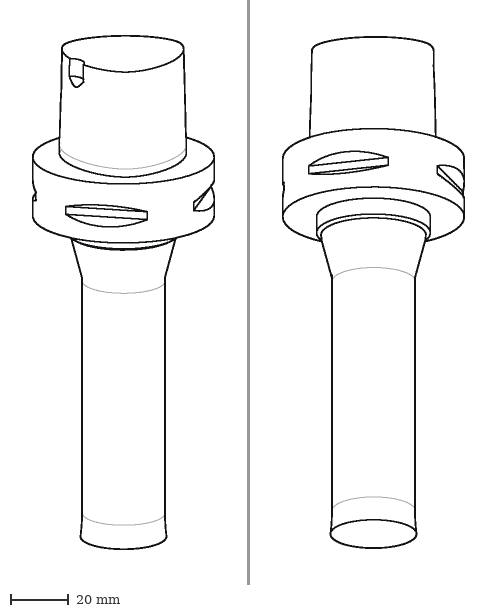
import cadquery as cq
import math

TOTAL_HEIGHT = 177.0
TAPER_BOTTOM_Z = 142.1
FLANGE_TOP_Z = 139.1
FLANGE_BOTTOM_Z = 117.7
NECK_BOTTOM_Z = 111.9
BAR_TOP_Z = 111.0

SHANK_MEAN_RADIUS = 22.04
SHANK_LOBE_HEIGHT = 1.5
SHANK_TAPER = 1 / 20
SHANK_TOP_MEAN_RADIUS = SHANK_MEAN_RADIUS - SHANK_TAPER * (TOTAL_HEIGHT - TAPER_BOTTOM_Z) / 2
LOBE_COUNT = 3
LOBE_CENTRE_ANGLE = math.pi / 2
CURVE_POINTS = 72
FLANGE_RADIUS = 63.0 / 2
NECK_RADIUS = 39.5 / 2

GROOVE_COUNT = 4
GROOVE_FIRST_ANGLE = 45.0
GROOVE_CENTRE_Z = 127.3
GROOVE_FLOOR_HEIGHT = 2.8
GROOVE_MOUTH_HEIGHT = 7.8
GROOVE_DEPTH = 3.5

KEYWAY_RADIUS = 5.5
KEYWAY_WALL_DEPTH = 6.4
KEYWAY_SAGITTA = 2.5

BAR_TOP_RADIUS = 36.5 / 2
SHAFT_RADIUS = 28.9 / 2
SHOULDER_TOP_BLEND_Z = 108.5
SHOULDER_TOP_BLEND_RADIUS = 17.9
SHOULDER_BOTTOM_BLEND_Z = 97.7
SHOULDER_BOTTOM_BLEND_RADIUS = 14.9
SHAFT_TOP_Z = 94.2
SHAFT_BOTTOM_Z = 10.0
TIP_RADIUS = 30.0 / 2
TIP_RIM_Z = 1.2


def lobed_wire(mean_radius, z):
    """Closed constant-width curve whose support distance is R + e * cos(3 * angle)."""

    def point(parameter):
        angle = 2 * math.pi * parameter
        phase = LOBE_COUNT * (angle - LOBE_CENTRE_ANGLE)
        support = mean_radius + SHANK_LOBE_HEIGHT * math.cos(phase)
        slope = -LOBE_COUNT * SHANK_LOBE_HEIGHT * math.sin(phase)
        x = support * math.cos(angle) - slope * math.sin(angle)
        y = support * math.sin(angle) + slope * math.cos(angle)
        return cq.Vector(x, y, z)

    points = [point(i / CURVE_POINTS) for i in range(CURVE_POINTS)]
    return cq.Wire.assembleEdges([cq.Edge.makeSpline(points, periodic=True)])


def make_shank():
    """Straight lobed foot with the lobed taper above it."""
    bottom = lobed_wire(SHANK_MEAN_RADIUS, FLANGE_TOP_Z)
    middle = lobed_wire(SHANK_MEAN_RADIUS, TAPER_BOTTOM_Z)
    top = lobed_wire(SHANK_TOP_MEAN_RADIUS, TOTAL_HEIGHT)
    foot = cq.Solid.makeLoft([bottom, middle], True)
    taper = cq.Solid.makeLoft([middle, top], True)
    return cq.Workplane(foot).union(cq.Workplane(taper))


def make_keyway():
    """Vertical bore breaking through the flat -Y side, ending in a 90 degree cone."""
    wall_bottom_z = TOTAL_HEIGHT - KEYWAY_WALL_DEPTH
    flat_side_y = -(SHANK_TOP_MEAN_RADIUS - SHANK_LOBE_HEIGHT)
    axis_y = flat_side_y + KEYWAY_SAGITTA - KEYWAY_RADIUS
    profile = (
        cq.Workplane("XZ")
        .moveTo(0, TOTAL_HEIGHT)
        .lineTo(KEYWAY_RADIUS, TOTAL_HEIGHT)
        .lineTo(KEYWAY_RADIUS, wall_bottom_z)
        .lineTo(0, wall_bottom_z - KEYWAY_RADIUS)
        .close()
    )
    return profile.revolve(360, (0, 0), (0, 1)).translate((0, axis_y, 0))


def make_groove(angle):
    """Straight trapezoidal groove across the flange rim, centred on the given angle."""
    floor_x = FLANGE_RADIUS - GROOVE_DEPTH
    half_floor = GROOVE_FLOOR_HEIGHT / 2
    half_mouth = GROOVE_MOUTH_HEIGHT / 2
    groove = (
        cq.Workplane("XZ")
        .polyline([
            (floor_x, GROOVE_CENTRE_Z - half_floor),
            (FLANGE_RADIUS, GROOVE_CENTRE_Z - half_mouth),
            (FLANGE_RADIUS, GROOVE_CENTRE_Z + half_mouth),
            (floor_x, GROOVE_CENTRE_Z + half_floor),
        ])
        .close()
        .extrude(FLANGE_RADIUS, both=True)
    )
    return groove.rotate((0, 0, 0), (0, 0, 1), angle)


def make_holder():
    """Shank, flange and neck, with a bevel under the neck down to the bar."""
    flange_and_neck = (
        cq.Workplane("XZ")
        .polyline([
            (0, FLANGE_TOP_Z),
            (FLANGE_RADIUS, FLANGE_TOP_Z),
            (FLANGE_RADIUS, FLANGE_BOTTOM_Z),
            (NECK_RADIUS, FLANGE_BOTTOM_Z),
            (NECK_RADIUS, NECK_BOTTOM_Z),
            (BAR_TOP_RADIUS, BAR_TOP_Z),
            (0, BAR_TOP_Z),
        ])
        .close()
        .revolve(360, (0, 0), (0, 1))
    )
    body = flange_and_neck.union(make_shank()).cut(make_keyway())
    for i in range(GROOVE_COUNT):
        body = body.cut(make_groove(GROOVE_FIRST_ANGLE + i * 360 / GROOVE_COUNT))
    return body


def make_bar():
    """Round bar with a blended shoulder, a tip that flares smoothly and a domed end."""
    dome_radius = (TIP_RADIUS**2 + TIP_RIM_Z**2) / (2 * TIP_RIM_Z)
    dome_mid_radius = TIP_RADIUS / 2
    dome_mid_z = dome_radius - math.sqrt(dome_radius**2 - dome_mid_radius**2)
    return (
        cq.Workplane("XZ")
        .moveTo(0, BAR_TOP_Z)
        .lineTo(BAR_TOP_RADIUS, BAR_TOP_Z)
        .spline(
            [
                (SHOULDER_TOP_BLEND_RADIUS, SHOULDER_TOP_BLEND_Z),
                (SHOULDER_BOTTOM_BLEND_RADIUS, SHOULDER_BOTTOM_BLEND_Z),
                (SHAFT_RADIUS, SHAFT_TOP_Z),
            ],
            tangents=[(0, -1), (0, -1)],
            includeCurrent=True,
        )
        .lineTo(SHAFT_RADIUS, SHAFT_BOTTOM_Z)
        .tangentArcPoint((TIP_RADIUS, TIP_RIM_Z), relative=False)
        .threePointArc((dome_mid_radius, dome_mid_z), (0, 0))
        .close()
        .revolve(360, (0, 0), (0, 1))
    )


holder = make_holder()
bar = make_bar()
result = cq.Compound.makeCompound([holder.solids().val(), bar.val()])